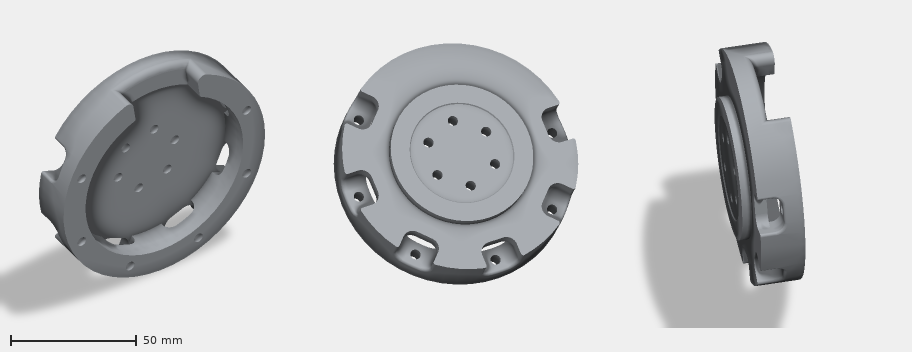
import cadquery as cq
import math

disc_radius = 47.9
disc_thickness = 18.0
floor_thickness = 5.0
cavity_radius = 37.5

hub_radius = 29.0
hub_height = 3.9
recess_radius = 21.3
recess_taper = 0.4
recess_depth = 0.5

hole_diameter = 4.1
hub_hole_circle_radius = 14.0
hub_hole_count = 6
hub_hole_start_angle = -15.0
pocket_hole_circle_radius = 42.5

pocket_places = 8
pocket_pitch = 360 / pocket_places
empty_places = (0, pocket_places - 1)
pocket_angles = [pocket_pitch * (place + 0.5) for place in range(pocket_places) if place not in empty_places]
pocket_width = 15.1
pocket_depth = 10.1
pocket_end_radius = 4.0
pocket_plan_radius = 4.3
pocket_inner_radius = cavity_radius
pocket_rim_fillet = 1.0

window_start = 9.0
window_tilt = 8.0
window_left = 21.5
window_right = 8.6
window_rim_fillet = 3.0
window_right_fillet = 2.5

tolerance = 0.001


def around_axis(shape, angle):
    """Turn a shape built at the top about the X axis, positive from +Z toward -Y."""
    return shape.rotate((0, 0, 0), (1, 0, 0), angle)


def cylinder(radius, x_start, length):
    return cq.Workplane("YZ", origin=(x_start, 0, 0)).circle(radius).extrude(length)


def radial_block(x_start, x_end, y_start, y_end, z_start):
    """Block reaching from z_start outward past the rim."""
    block = cq.Workplane("XY").box(x_end - x_start, y_end - y_start, disc_radius, centered=False)
    return block.translate((x_start, y_start, z_start))


def screw_hole(circle_radius, angle):
    hole = cylinder(hole_diameter / 2, -hub_height, hub_height + disc_thickness)
    return around_axis(hole.translate((0, 0, circle_radius)), angle)


def round_gap_side(body, side, radius):
    """Round the long edge where the gap meets the outer cylinder on the +Y (1) or -Y (-1) side."""

    def is_rim_edge(edge):
        middle = edge.Center()
        return middle.z > cavity_radius and middle.y * side > 0

    return body.edges("|X").filter(is_rim_edge).fillet(radius)


def window_cutter():
    """Space past a rounded shoulder, kept only within a gap with rounded sides, so the corners are mitred."""
    blank = cylinder(disc_radius, 0, disc_thickness)
    shoulder = cylinder(disc_radius, 0, window_start).faces(">X").edges().fillet(window_rim_fillet)
    gap = radial_block(0, disc_thickness, -window_right, window_left, 0)
    gapped_blank = blank.cut(around_axis(gap, window_tilt))
    gapped_blank = round_gap_side(gapped_blank, 1, window_rim_fillet)
    gapped_blank = round_gap_side(gapped_blank, -1, window_right_fillet)
    return blank.cut(shoulder).intersect(blank.cut(gapped_blank))


def pocket_cutter():
    """Notch in the floor, opening behind it into a passage from the rim to the cavity."""
    half_width = pocket_width / 2
    notch = radial_block(0, floor_thickness, -half_width, half_width, pocket_inner_radius)
    notch = notch.edges("|X and <Z").fillet(pocket_plan_radius)
    passage_start = pocket_inner_radius - pocket_plan_radius
    passage = radial_block(floor_thickness, pocket_depth, -half_width, half_width, passage_start)
    passage = passage.edges("|Z and >X").fillet(pocket_end_radius)
    return notch.union(passage)


def is_pocket_rim(edge):
    """True for the pocket edges that lie on the outer cylinder."""
    box = edge.BoundingBox()
    on_rim = all(
        abs(math.hypot(point.y, point.z) - disc_radius) < tolerance
        for point in (edge.startPoint(), edge.positionAt(0.5), edge.endPoint())
    )
    return on_rim and tolerance < box.xmax < pocket_depth + tolerance


disc = cylinder(disc_radius, 0, disc_thickness)
disc = disc.cut(cylinder(cavity_radius, floor_thickness, disc_thickness))
for angle in pocket_angles:
    disc = disc.cut(around_axis(pocket_cutter(), angle))
disc = disc.edges().filter(is_pocket_rim).fillet(pocket_rim_fillet)
disc = disc.cut(window_cutter())

hub = cylinder(hub_radius, -hub_height, hub_height)
recess = (
    cq.Workplane("YZ", origin=(-hub_height, 0, 0))
    .circle(recess_radius)
    .workplane(offset=recess_depth)
    .circle(recess_radius - recess_taper)
    .loft()
)
result = disc.union(hub).cut(recess)

for index in range(hub_hole_count):
    hub_hole_angle = hub_hole_start_angle + index * 360 / hub_hole_count
    result = result.cut(screw_hole(hub_hole_circle_radius, hub_hole_angle))
for angle in pocket_angles:
    result = result.cut(screw_hole(pocket_hole_circle_radius, angle))